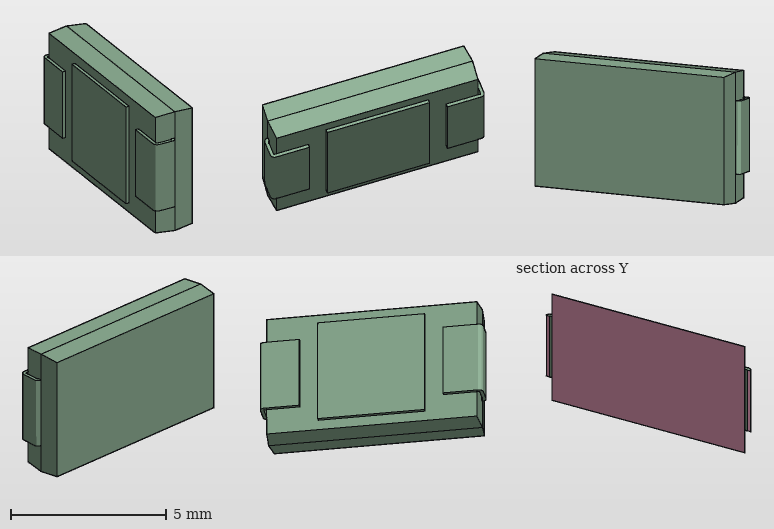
import cadquery as cq
import math

housing_length = 7.0
housing_height = 4.3
housing_depth = 1.38
half_depth = housing_depth / 2
draft_angle = 5.0

metal_thickness = 0.12
pad_side = 3.5

lead_span = 7.3
lead_width = 2.4
foot_length = 1.3
bend_radius = 0.145
inner_bend_radius = bend_radius - metal_thickness
lead_top_gap = 0.015

mounting_face_y = -half_depth


def housing_half(outward):
    """Half housing on the +Y (outward = 1) or -Y (outward = -1) side, tapering away from Y = 0."""
    parting_plane = cq.Plane(origin=(0, 0, 0), xDir=(1, 0, 0), normal=(0, outward, 0))
    return (
        cq.Workplane(parting_plane)
        .rect(housing_length, housing_height)
        .extrude(half_depth, taper=draft_angle)
    )


def thermal_pad():
    """Square plate lying on the mounting face."""
    return cq.Workplane("XY").box(pad_side, metal_thickness, pad_side).translate(
        (0, mounting_face_y - metal_thickness / 2, 0)
    )


def lead(side):
    """C-shaped strip at the -X (side = -1) or +X (side = 1) end, its upper arm ending on the housing."""
    outer_x = lead_span / 2
    inner_x = outer_x - metal_thickness
    top_y = -lead_top_gap
    arm_y = top_y - metal_thickness
    bottom_y = mounting_face_y - metal_thickness
    foot_x = outer_x - foot_length
    bend_x = outer_x - bend_radius

    draft_slope = math.tan(math.radians(draft_angle))
    arm_end_top_x = housing_length / 2 + top_y * draft_slope
    arm_end_bottom_x = housing_length / 2 + arm_y * draft_slope

    corner_share = 1 - math.sqrt(0.5)
    outer_inset = bend_radius * corner_share
    inner_inset = inner_bend_radius * corner_share

    profile = (
        cq.Workplane("XY")
        .moveTo(side * arm_end_top_x, top_y)
        .lineTo(side * bend_x, top_y)
        .threePointArc(
            (side * (outer_x - outer_inset), top_y - outer_inset),
            (side * outer_x, top_y - bend_radius),
        )
        .lineTo(side * outer_x, bottom_y + bend_radius)
        .threePointArc(
            (side * (outer_x - outer_inset), bottom_y + outer_inset),
            (side * bend_x, bottom_y),
        )
        .lineTo(side * foot_x, bottom_y)
        .lineTo(side * foot_x, mounting_face_y)
        .lineTo(side * bend_x, mounting_face_y)
        .threePointArc(
            (side * (inner_x - inner_inset), mounting_face_y + inner_inset),
            (side * inner_x, mounting_face_y + inner_bend_radius),
        )
        .lineTo(side * inner_x, arm_y - inner_bend_radius)
        .threePointArc(
            (side * (inner_x - inner_inset), arm_y - inner_inset),
            (side * bend_x, arm_y),
        )
        .lineTo(side * arm_end_bottom_x, arm_y)
        .close()
    )
    return profile.extrude(lead_width / 2, both=True)


back_half = housing_half(1)
front_half = housing_half(-1)
pad = thermal_pad()
leads = [lead(side) for side in (-1, 1)]

result = cq.Compound.makeCompound(
    [back_half.val(), front_half.val(), pad.val(), *[strip.val() for strip in leads]]
)